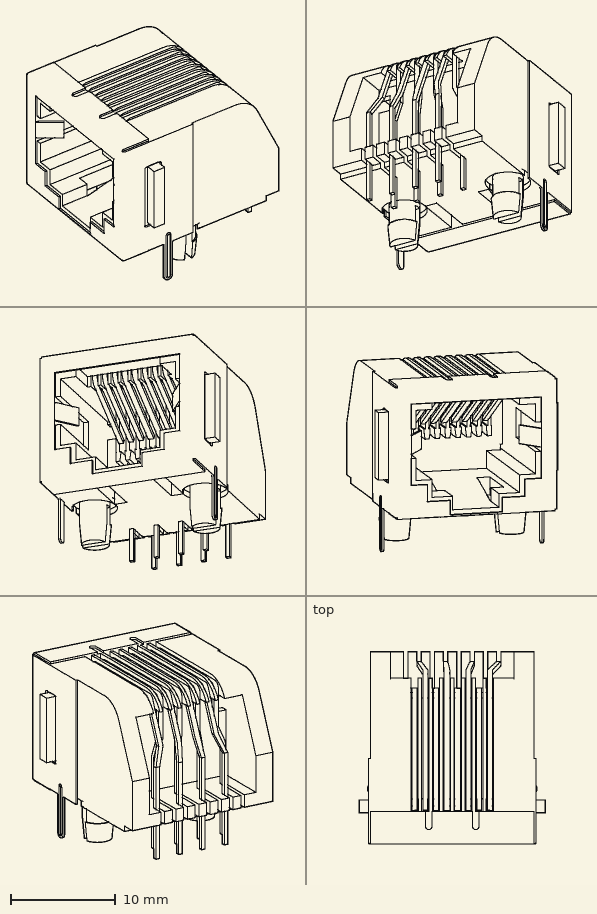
import cadquery as cq
import math


OVERLAP = 0.18

LENGTH = 18.4
HOUSING_WIDTH = 15.64
HOUSING_HEIGHT = 12.68
REAR_EDGE_HEIGHT = 5.58
ROOF_BEND_RADIUS = 2.95
ROOF_BEND_CORNER_Y = 15.09
REAR_SLOPE = math.atan2(HOUSING_HEIGHT - REAR_EDGE_HEIGHT, LENGTH - ROOF_BEND_CORNER_Y)
ROOF_BEND_TANGENT = ROOF_BEND_RADIUS * math.tan(REAR_SLOPE / 2)
ROOF_BEND_END_Y = ROOF_BEND_CORNER_Y + ROOF_BEND_TANGENT * math.cos(REAR_SLOPE)
ROOF_BEND_END_Z = HOUSING_HEIGHT - ROOF_BEND_TANGENT * math.sin(REAR_SLOPE)
REAR_STEP_Y = 16.93
REAR_STEP_HEIGHT = 0.55

SHEET = 0.2
SHIELD_LENGTH = 8.2
LIP_LENGTH = 3.13
BEND_RADIUS = SHEET

CAVITY_BACK_Y = 12.15
CAVITY_TOP = 10.35
CAVITY_HALF = 5.92
CAVITY_FLOOR = 3.5
KEY_HALF = 4.32
KEY_FLOOR = 1.77
LATCH_HALF = 2.3
LATCH_FLOOR = 0.45
RAMP_START_Y = 3.31
FLOOR_HOLE_HALF = 3.55
FLOOR_HOLE_START_Y = 3.13
FLOOR_HOLE_END_Y = 8.1
CHAMBER_FRONT_Y = 12.88
CHAMBER_FLOOR = 1.84
CHAMBER_TOP = ROOF_BEND_END_Z

CONTACT_COUNT = 8
CONTACT_PITCH = 1.03
CONTACT_WIDTH = 0.48
MIDDLE_CONTACT_WIDTH = 0.57
CONTACT_THICKNESS = 0.4
CONTACT_TOP = 12.36
CONTACT_BEND_Y = 4.23
CONTACT_BEND_RADIUS = 1.01
BLADE_ANGLE = 30.0
BLADE_TIP_Z = 6.92
REAR_BEND_RADIUS = 0.75
SLOPE_BEND_RADIUS = 0.59
JOG_TOP = 7.84
JOG_BOTTOM = 6.07
RIB_WIDTH = 0.33
GROOVE_REAR_OPENING_Y = 13.98
PIN_PITCH = 1.27
PIN_WIDTH = 0.4
PIN_BOTTOM = -3.28
FRONT_PIN_Y = 14.72
REAR_PIN_Y = 17.25
REAR_BEND_Y = FRONT_PIN_Y + CONTACT_THICKNESS / 2 - REAR_BEND_RADIUS

TOOTH_FRONT_Y = 10.3
TOOTH_BARB_WIDTH = 0.6
TOOTH_TIP_WIDTH = 0.4
TOOTH_BARB_TOP = 6.31
TOOTH_BARB_BOTTOM = 6.02
TOOTH_TIP_Z = 5.32

POST_X = 5.7
POST_Y = 8.34
POST_RADIUS = 1.47
POST_TOP = 1.65
POST_BOTTOM = -3.75
POST_SLOT = 0.7
POST_POCKET_RADIUS = 2.17
POST_POCKET_DEPTH = 0.55
BARB_Z = -1.78
BARB_RADIUS = 1.6
BARB_TIP_RADIUS = 1.42
TAPER_Z = -1.56
TAPER_TIP_RADIUS = 1.27

LATCH_TIP_HALF = 8.896
TAB_Y = 5.3
TAB_WIDTH = 1.0
TAB_BOTTOM = -4.35
TAB_ROOT_RADIUS = 0.13
BEAD_WIDTH = 0.55
BEAD_TOP = 1.15
BEAD_BOTTOM = -4.12
BEAD_RISE = 0.07
BEAD_TAPER = 60.0

SHIELD_HALF = HOUSING_WIDTH / 2 + SHEET
GROOVE_WIDTH = CONTACT_PITCH - RIB_WIDTH
GROOVE_FLOOR = CONTACT_TOP - CONTACT_THICKNESS


def block(x, y, z):
    """Box between the given (low, high) limits."""
    size = (x[1] - x[0], y[1] - y[0], z[1] - z[0])
    return cq.Workplane("XY").box(*size, centered=False).translate((x[0], y[0], z[0]))


def centered_block(half_x, y, z):
    return block((-half_x, half_x), y, z)


def along_x(profile, half_width):
    """Extrude a closed Y-Z profile to both sides of X = 0."""
    return profile.extrude(half_width, both=True)


def both_sides(part):
    return part.union(part.mirror("YZ"))


def spread(index, pitch):
    """X of one item in an evenly spaced row of contacts."""
    return (index - (CONTACT_COUNT - 1) / 2) * pitch


def housing_body():
    profile = (
        cq.Workplane("YZ")
        .moveTo(SHEET, 0)
        .lineTo(SHEET, HOUSING_HEIGHT)
        .lineTo(ROOF_BEND_CORNER_Y - ROOF_BEND_TANGENT, HOUSING_HEIGHT)
        .radiusArc((ROOF_BEND_END_Y, ROOF_BEND_END_Z), ROOF_BEND_RADIUS)
        .lineTo(LENGTH, REAR_EDGE_HEIGHT)
        .lineTo(LENGTH, REAR_STEP_HEIGHT)
        .lineTo(REAR_STEP_Y, REAR_STEP_HEIGHT)
        .lineTo(REAR_STEP_Y, 0)
        .close()
    )
    return along_x(profile, HOUSING_WIDTH / 2)


def shield_shell():
    sides = centered_block(SHIELD_HALF, (0, SHIELD_LENGTH), (0, HOUSING_HEIGHT))
    lips = centered_block(HOUSING_WIDTH / 2, (0, LIP_LENGTH), (-SHEET, HOUSING_HEIGHT + SHEET))
    sides = sides.edges("|Z and <Y").fillet(BEND_RADIUS)
    lips = lips.edges("|X and <Y").fillet(BEND_RADIUS)
    return sides.union(lips)


def shield_opening():
    """Stepped plug opening through the front sheet."""
    depth = (0, SHEET)
    opening = centered_block(6.44, depth, (3.07, 11.0))
    opening = opening.union(centered_block(4.84, depth, (1.4, 3.07)))
    return opening.union(centered_block(2.58, depth, (0, 1.4)))


def plug_cavity():
    depth = (SHEET, CAVITY_BACK_Y)
    cavity = centered_block(CAVITY_HALF, depth, (CAVITY_FLOOR, CAVITY_TOP))
    cavity = cavity.union(centered_block(KEY_HALF, depth, (KEY_FLOOR, CAVITY_FLOOR)))
    latch_channel = (
        cq.Workplane("YZ")
        .moveTo(SHEET, KEY_FLOOR)
        .lineTo(SHEET, LATCH_FLOOR)
        .lineTo(RAMP_START_Y, LATCH_FLOOR)
        .lineTo(FLOOR_HOLE_END_Y, KEY_FLOOR)
        .close()
    )
    cavity = cavity.union(along_x(latch_channel, LATCH_HALF))
    floor_hole = block(
        (LATCH_HALF, FLOOR_HOLE_HALF), (FLOOR_HOLE_START_Y, FLOOR_HOLE_END_Y), (0, KEY_FLOOR)
    )
    spring_recess = block((CAVITY_HALF, 6.44), (SHEET, 7.36), (5.67, 8.55))
    contact_recess = centered_block(KEY_HALF, (SHEET, LIP_LENGTH), (CAVITY_TOP, 11.4))
    return cavity.union(both_sides(floor_hole.union(spring_recess))).union(contact_recess)


def rear_chamber():
    """Chamber open to the rear, with windows through the wall to the plug cavity."""
    chamber = centered_block(
        CAVITY_HALF, (CHAMBER_FRONT_Y, LENGTH), (CHAMBER_FLOOR, CHAMBER_TOP)
    )
    wall = (CAVITY_BACK_Y, CHAMBER_FRONT_Y)
    window = block((4.67, CAVITY_HALF), wall, (8.48, 10.06))
    slit = block((5.7, CAVITY_HALF), wall, (CAVITY_FLOOR, 4.03))
    return chamber.union(both_sides(window.union(slit)))


def post_pockets():
    """Round relief around each post, breaking out through the side of the housing."""
    pocket = (
        cq.Workplane("XY", origin=(POST_X, POST_Y, 0))
        .circle(POST_POCKET_RADIUS)
        .extrude(POST_POCKET_DEPTH)
    )
    return both_sides(pocket).intersect(
        centered_block(HOUSING_WIDTH / 2, (0, LENGTH), (0, POST_POCKET_DEPTH))
    )


def contact_groove(x):
    """Roof groove, cut through where the contact bends down at the front and rear."""
    width = (x - GROOVE_WIDTH / 2, x + GROOVE_WIDTH / 2)
    groove = block(width, (LIP_LENGTH, LENGTH), (GROOVE_FLOOR, HOUSING_HEIGHT))
    front_opening = block(width, (LIP_LENGTH, 4.32), (CAVITY_TOP, GROOVE_FLOOR))
    rear_opening = block(width, (GROOVE_REAR_OPENING_Y, LENGTH), (CHAMBER_TOP, GROOVE_FLOOR))
    return groove.union(front_opening).union(rear_opening)


def pin_slot(x, pin_y):
    """Slot in the rear floor, open to the rear, with the pin at its closed end."""
    return block(
        (x - PIN_WIDTH / 2, x + PIN_WIDTH / 2),
        (pin_y - CONTACT_THICKNESS / 2, LENGTH),
        (0, CHAMBER_FLOOR),
    )


def lip_slots():
    """Round-ended slots in the top lip over two of the ribs."""
    width = 0.65
    start_y = 1.4
    slot = (
        cq.Workplane("XY", origin=(2.25, start_y + width / 2, HOUSING_HEIGHT))
        .circle(width / 2)
        .extrude(SHEET)
    )
    straight = block(
        (2.25 - width / 2, 2.25 + width / 2),
        (start_y + width / 2, LIP_LENGTH),
        (HOUSING_HEIGHT, HOUSING_HEIGHT + SHEET),
    )
    return both_sides(slot.union(straight))


def side_windows():
    window = block((HOUSING_WIDTH / 2, SHIELD_HALF), (2.54, 4.45), (2.87, 9.86))
    return both_sides(window.edges("|X").fillet(0.18))


def comb_tooth(x):
    def half_outline(side):
        return [
            (side * RIB_WIDTH / 2, TOOTH_BARB_TOP),
            (side * TOOTH_BARB_WIDTH / 2, TOOTH_BARB_TOP),
            (side * TOOTH_BARB_WIDTH / 2, TOOTH_BARB_BOTTOM),
            (side * TOOTH_TIP_WIDTH / 2, TOOTH_TIP_Z),
        ]

    top = CAVITY_TOP + OVERLAP
    outline = [(RIB_WIDTH / 2, top)] + half_outline(1)
    outline += half_outline(-1)[::-1] + [(-RIB_WIDTH / 2, top)]
    return (
        cq.Workplane("XZ", origin=(x, CAVITY_BACK_Y + OVERLAP, 0))
        .polyline(outline)
        .close()
        .extrude(CAVITY_BACK_Y + OVERLAP - TOOTH_FRONT_Y)
    )


def comb():
    teeth = comb_tooth(0)
    for index in range(1, CONTACT_COUNT // 2 + 1):
        teeth = teeth.union(both_sides(comb_tooth(index * CONTACT_PITCH)))
    return teeth.intersect(centered_block(KEY_HALF, (0, LENGTH), (0, HOUSING_HEIGHT)))


def contact_blade(x, width):
    """Top run, front bend and the spring blade sloping back into the cavity."""
    angle = math.radians(BLADE_ANGLE)
    center_z = CONTACT_TOP - CONTACT_BEND_RADIUS
    inner_radius = CONTACT_BEND_RADIUS - CONTACT_THICKNESS

    def on_bend(radius):
        return (
            CONTACT_BEND_Y - radius * math.sin(angle),
            center_z - radius * math.cos(angle),
        )

    outer_end = on_bend(CONTACT_BEND_RADIUS)
    inner_end = on_bend(inner_radius)
    blade_length = (outer_end[1] - BLADE_TIP_Z) / math.sin(angle)
    reach = (blade_length * math.cos(angle), -blade_length * math.sin(angle))
    profile = (
        cq.Workplane("YZ")
        .moveTo(REAR_BEND_Y, CONTACT_TOP)
        .lineTo(CONTACT_BEND_Y, CONTACT_TOP)
        .threePointArc((CONTACT_BEND_Y - CONTACT_BEND_RADIUS, center_z), outer_end)
        .lineTo(outer_end[0] + reach[0], outer_end[1] + reach[1])
        .lineTo(inner_end[0] + reach[0], inner_end[1] + reach[1])
        .lineTo(*inner_end)
        .threePointArc((CONTACT_BEND_Y - inner_radius, center_z), (CONTACT_BEND_Y, GROOVE_FLOOR))
        .lineTo(REAR_BEND_Y, GROOVE_FLOOR)
        .close()
    )
    return along_x(profile, width / 2).translate((x, 0, 0))


def vertical_tail():
    """Full-width sheet with the rear bend that drops straight down to the front row of pins."""
    back_y = REAR_BEND_Y + REAR_BEND_RADIUS
    front_y = back_y - CONTACT_THICKNESS
    inner_radius = REAR_BEND_RADIUS - CONTACT_THICKNESS
    profile = (
        cq.Workplane("YZ")
        .moveTo(REAR_BEND_Y, CONTACT_TOP)
        .radiusArc((back_y, CONTACT_TOP - REAR_BEND_RADIUS), REAR_BEND_RADIUS)
        .lineTo(back_y, PIN_BOTTOM)
        .lineTo(front_y, PIN_BOTTOM)
        .lineTo(front_y, GROOVE_FLOOR - inner_radius)
        .radiusArc((REAR_BEND_Y, GROOVE_FLOOR), -inner_radius)
        .close()
    )
    return along_x(profile, HOUSING_WIDTH / 2)


def sloping_tail():
    """Full-width sheet with a bend that follows the rear slope and then drops to the rear row of pins."""
    back_y = REAR_PIN_Y + CONTACT_THICKNESS / 2
    front_y = back_y - CONTACT_THICKNESS
    center_z = CONTACT_TOP - SLOPE_BEND_RADIUS
    inner_radius = SLOPE_BEND_RADIUS - CONTACT_THICKNESS

    def on_bend(radius):
        return (
            REAR_BEND_Y + radius * math.sin(REAR_SLOPE),
            center_z + radius * math.cos(REAR_SLOPE),
        )

    def slope_height(start, y):
        return start[1] - (y - start[0]) * math.tan(REAR_SLOPE)

    outer = on_bend(SLOPE_BEND_RADIUS)
    inner = on_bend(inner_radius)
    profile = (
        cq.Workplane("YZ")
        .moveTo(REAR_BEND_Y, CONTACT_TOP)
        .radiusArc(outer, SLOPE_BEND_RADIUS)
        .lineTo(back_y, slope_height(outer, back_y))
        .lineTo(back_y, PIN_BOTTOM)
        .lineTo(front_y, PIN_BOTTOM)
        .lineTo(front_y, slope_height(inner, front_y))
        .lineTo(*inner)
        .radiusArc((REAR_BEND_Y, GROOVE_FLOOR), -inner_radius)
        .close()
    )
    return along_x(profile, HOUSING_WIDTH / 2)


def contact_tail(sheet, x, pin_x, width):
    """Tail that steps sideways from its groove to its pin."""
    half = width / 2
    pin_half = PIN_WIDTH / 2
    ribbon = (
        cq.Workplane("XZ", origin=(0, LENGTH, 0))
        .polyline(
            [
                (x - half, CONTACT_TOP),
                (x + half, CONTACT_TOP),
                (x + half, JOG_TOP),
                (pin_x + pin_half, JOG_BOTTOM),
                (pin_x + pin_half, PIN_BOTTOM),
                (pin_x - pin_half, PIN_BOTTOM),
                (pin_x - pin_half, JOG_BOTTOM),
                (x - half, JOG_TOP),
            ]
        )
        .close()
        .extrude(LENGTH)
    )
    return sheet.intersect(ribbon)


def half_post(outline, side):
    """Half of a turned post, standing half the split away from its middle on the given Y side."""
    full = cq.Workplane("XZ").polyline([(0, 0)] + outline + [(0, POST_BOTTOM)]).close()
    full = full.revolve(360, (0, 0, 0), (0, 1, 0))
    reach = sorted((side * POST_SLOT / 2, side * LENGTH))
    return full.intersect(centered_block(LENGTH, reach, (POST_BOTTOM, 0)))


def mounting_post():
    """Post split crosswise below the housing: plain tapered front half, barbed rear half."""
    root = cq.Workplane("XY").circle(POST_RADIUS).extrude(POST_TOP)
    plain_half = half_post(
        [(POST_RADIUS, 0), (POST_RADIUS, TAPER_Z), (TAPER_TIP_RADIUS, POST_BOTTOM)], -1
    )
    barbed_half = half_post(
        [
            (POST_RADIUS, 0),
            (POST_RADIUS, BARB_Z),
            (BARB_RADIUS, BARB_Z),
            (BARB_TIP_RADIUS, POST_BOTTOM),
        ],
        1,
    )
    return root.union(plain_half).union(barbed_half).translate((POST_X, POST_Y, 0))


def ground_tab():
    """Round-ended tab below the shield side, stiffened by a raised bead."""
    half = TAB_WIDTH / 2
    root = half + TAB_ROOT_RADIUS
    tab = (
        cq.Workplane("YZ", origin=(HOUSING_WIDTH / 2, TAB_Y, 0))
        .moveTo(-root, OVERLAP)
        .lineTo(-root, 0)
        .radiusArc((-half, -TAB_ROOT_RADIUS), TAB_ROOT_RADIUS)
        .lineTo(-half, TAB_BOTTOM + half)
        .threePointArc((0, TAB_BOTTOM), (half, TAB_BOTTOM + half))
        .lineTo(half, -TAB_ROOT_RADIUS)
        .radiusArc((root, 0), TAB_ROOT_RADIUS)
        .lineTo(root, OVERLAP)
        .close()
        .extrude(SHEET)
    )
    bead = (
        cq.Workplane("YZ", origin=(SHIELD_HALF, TAB_Y, (BEAD_TOP + BEAD_BOTTOM) / 2))
        .slot2D(BEAD_TOP - BEAD_BOTTOM, BEAD_WIDTH, 90)
        .extrude(BEAD_RISE, taper=BEAD_TAPER)
    )
    return tab.union(bead)


def retaining_spring():
    """Leaf bent from the edge of the plug opening, leaning into the cavity."""
    return (
        cq.Workplane("XY", origin=(0, 0, 6.1))
        .polyline([(6.53, 0), (6.44, 0), (6.3, 0.17), (4.84, 2.19), (5.0, 2.3), (6.53, SHEET)])
        .close()
        .extrude(1.82)
    )


def side_latch():
    return block((HOUSING_WIDTH / 2 - OVERLAP, LATCH_TIP_HALF), (2.98, 4.23), (3.15, 9.73))


result = housing_body().union(shield_shell())
for void in (
    shield_opening(),
    plug_cavity(),
    rear_chamber(),
    post_pockets(),
    side_windows(),
):
    result = result.cut(void)

tails = (vertical_tail(), sloping_tail())
pin_rows = (FRONT_PIN_Y, REAR_PIN_Y)
contacts = []
for number in range(CONTACT_COUNT):
    contact_x = spread(number, CONTACT_PITCH)
    pin_x = spread(number, PIN_PITCH)
    row = number % 2
    is_middle = number in (CONTACT_COUNT // 2 - 1, CONTACT_COUNT // 2)
    contact_width = MIDDLE_CONTACT_WIDTH if is_middle else CONTACT_WIDTH
    result = result.cut(contact_groove(contact_x)).cut(pin_slot(pin_x, pin_rows[row]))
    contacts.append(contact_blade(contact_x, contact_width))
    contacts.append(contact_tail(tails[row], contact_x, pin_x, contact_width))

result = result.cut(lip_slots()).union(comb())
for contact in contacts:
    result = result.union(contact)
for fitting in (mounting_post(), ground_tab(), retaining_spring(), side_latch()):
    result = result.union(both_sides(fitting))